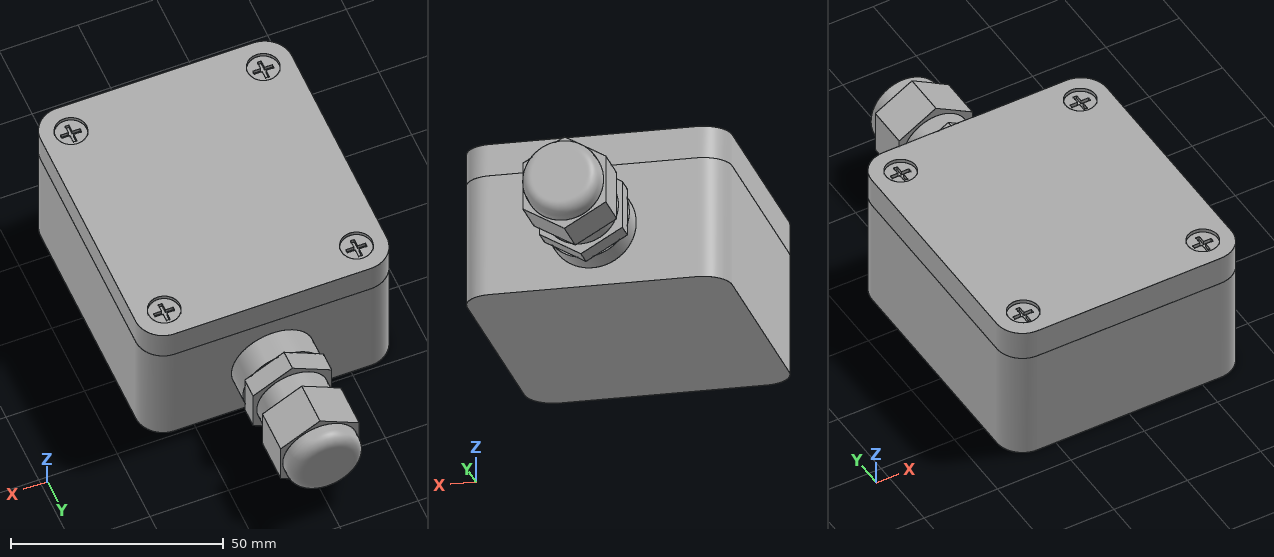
import cadquery as cq
import math

WIDTH = 64.0
OVERALL_LENGTH = 106.0
GLAND_LENGTH = 34.0
DEPTH = OVERALL_LENGTH - GLAND_LENGTH
HEIGHT = 38.0
LID_HEIGHT = 8.0
BOX_HEIGHT = HEIGHT - LID_HEIGHT
CORNER_RADIUS = 7.0

SCREW_INSET = 7.5
SCREW_DIAMETER = 8.0
SCREW_RECESS_DEPTH = 1.0
CROSS_LENGTH = 5.0
CROSS_WIDTH = 1.0
CROSS_DEPTH = 1.0

GLAND_AXIS_HEIGHT = BOX_HEIGHT / 2
COLLAR_DIAMETER = 21.0
COLLAR_LENGTH = 7.0
HEX_ACROSS_FLATS = 20.0
HEX_ACROSS_CORNERS = HEX_ACROSS_FLATS / math.cos(math.pi / 6)
BODY_HEX_LENGTH = 5.1
NECK_DIAMETER = 18.1
NECK_LENGTH = 5.7
NUT_LENGTH = 11.1
DOME_DIAMETER = 19.0
DOME_LENGTH = GLAND_LENGTH - COLLAR_LENGTH - BODY_HEX_LENGTH - NECK_LENGTH - NUT_LENGTH
DOME_FILLET = 3.0


def rounded_block(height, base_z):
    """Block with the enclosure's footprint and rounded vertical corners."""
    block = cq.Workplane("XY").workplane(offset=base_z).rect(WIDTH, DEPTH).extrude(height)
    return block.edges("|Z").fillet(CORNER_RADIUS)


def gland_plane(distance):
    """Workplane facing +Y on the gland axis, at a distance from the enclosure wall."""
    origin = (0, DEPTH / 2 + distance, GLAND_AXIS_HEIGHT)
    return cq.Workplane(cq.Plane(origin=origin, xDir=(0, 0, 1), normal=(0, 1, 0)))


def gland_cylinder(start, length, diameter):
    return gland_plane(start).circle(diameter / 2).extrude(length)


def gland_hexagon(start, length):
    """Hexagonal prism with corners at the top and bottom."""
    return gland_plane(start).polygon(6, HEX_ACROSS_CORNERS).extrude(length)


def make_gland():
    """Stepped cable gland that is part of the box."""
    body_hex_start = COLLAR_LENGTH
    neck_start = body_hex_start + BODY_HEX_LENGTH
    nut_start = neck_start + NECK_LENGTH
    dome_start = nut_start + NUT_LENGTH
    collar = gland_cylinder(0, COLLAR_LENGTH, COLLAR_DIAMETER)
    body_hex = gland_hexagon(body_hex_start, BODY_HEX_LENGTH)
    neck = gland_cylinder(neck_start, NECK_LENGTH, NECK_DIAMETER)
    nut = gland_hexagon(nut_start, NUT_LENGTH)
    dome = gland_cylinder(dome_start, DOME_LENGTH, DOME_DIAMETER).faces(">Y").edges().fillet(DOME_FILLET)
    return collar.union(body_hex).union(neck).union(nut).union(dome)


def make_box():
    return rounded_block(BOX_HEIGHT, 0).union(make_gland())


def make_lid():
    """Lid with a round recess and a cross slot at each corner."""
    recess_floor = HEIGHT - SCREW_RECESS_DEPTH
    screw_points = [
        (side_x * (WIDTH / 2 - SCREW_INSET), side_y * (DEPTH / 2 - SCREW_INSET))
        for side_x in (-1, 1)
        for side_y in (-1, 1)
    ]
    top = cq.Workplane("XY").workplane(offset=HEIGHT).pushPoints(screw_points)
    recesses = top.circle(SCREW_DIAMETER / 2).extrude(-SCREW_RECESS_DEPTH)
    floor = cq.Workplane("XY").workplane(offset=recess_floor).pushPoints(screw_points)
    slots_x = floor.rect(CROSS_LENGTH, CROSS_WIDTH).extrude(-CROSS_DEPTH)
    slots_y = floor.rect(CROSS_WIDTH, CROSS_LENGTH).extrude(-CROSS_DEPTH)
    return rounded_block(LID_HEIGHT, BOX_HEIGHT).cut(recesses).cut(slots_x).cut(slots_y)


box = make_box()
lid = make_lid()

result = cq.Compound.makeCompound([box.val(), lid.val()])